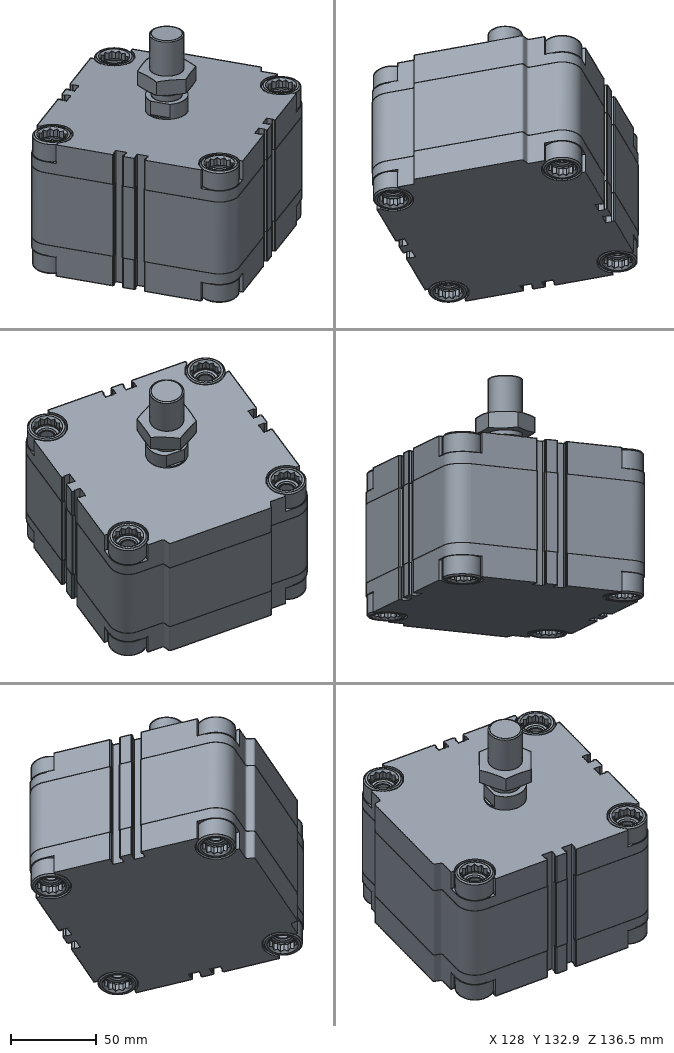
import cadquery as cq
import math

body_width = 128.0
housing_height = 86.4
cap_height = 19.5
cap_inset = 0.1
screw_pitch = 103.7
screw_offset = screw_pitch / 2
half_width = body_width / 2
corner_radius = half_width - screw_offset

pad_height = 4.9
pad_foot_half_width = 35.0
pad_top_half_width = 33.5
pad_fillet = 1.4

slot_side_angles = (-90, 0, 90)
slot_center = 6.7
slot_width = 6.7
slot_depth = 5.6
slot_mouth_width = 5.0
slot_lip_depth = 2.0
slot_mouth_chamfer = 0.5
cap_mouth_widening = 0.3

head_diameter = 23.0
head_chamfer = 1.0
head_pocket_diameter = 24.0
corner_notch_depth = 12.3
corner_notch_start = 45.0
socket_rim_diameter = 18.2
socket_points_diameter = 16.5
socket_point_count = 12
socket_flute_depth = 5.7
socket_floor_diameter = 15.4
socket_depth = 6.8
countersink_diameter = 11.5
countersink_bottom_diameter = 9.8
through_hole_diameter = 8.3

rod_diameter = 25.0
rod_flats_width = 22.0
rod_shoulder_z = 96.2
rod_flats_bottom_z = 87.4
neck_diameter = 18.2
neck_top_z = 100.0
thread_diameter = 20.0
thread_chamfer = (thread_diameter - neck_diameter) / 2
rod_top_z = 136.5
rod_tip_chamfer_height = 0.5

nut_width = 30.0
nut_height = 10.0
nut_bottom_z = 103.6
nut_corner_diameter = nut_width / math.cos(math.pi / 6)
nut_chamfer_height = 0.5


def slot(inset, mouth_widening, height):
    """One undercut slot opening toward -Y, with chamfered lips; centred on X = 0."""
    face_y = -half_width + inset
    lip_y = -half_width + slot_lip_depth
    floor_y = -half_width + slot_depth
    mouth_x = slot_mouth_width / 2 + mouth_widening
    wall_x = slot_width / 2
    flare_x = mouth_x + slot_mouth_chamfer
    half_profile = [
        (flare_x, face_y),
        (mouth_x, face_y + slot_mouth_chamfer),
        (mouth_x, lip_y),
        (wall_x, lip_y),
        (wall_x, floor_y),
    ]
    mirrored = [(-x, y) for x, y in reversed(half_profile)]
    return cq.Workplane("XY").polyline(half_profile + mirrored).close().extrude(height)


def pad(inset, height):
    """Pad on the +Y side with sloping flanks; its root lies inside the body."""
    foot_y = half_width - inset
    foot_x = pad_foot_half_width - inset
    crest_y = foot_y + pad_height
    crest_x = pad_top_half_width - inset
    outline = [
        (-foot_x, 0),
        (-foot_x, foot_y),
        (-crest_x, crest_y),
        (crest_x, crest_y),
        (foot_x, foot_y),
        (foot_x, 0),
    ]
    return cq.Workplane("XY").polyline(outline).close().extrude(height)


def vertical_edge_at(x, y, height):
    """Selector for the vertical edge that stands at (x, y)."""
    margin = 0.1
    return cq.selectors.BoxSelector(
        (x - margin, y - margin, -margin),
        (x + margin, y + margin, height + margin),
    )


def section(inset, mouth_widening, height):
    """Prism with the housing outline, set back from the barrel surface by inset."""
    side = body_width - 2 * inset
    prism = cq.Workplane("XY").rect(side, side).extrude(height)
    prism = prism.edges("|Z").fillet(corner_radius - inset)

    prism = prism.union(pad(inset, height))
    foot_y = half_width - inset
    foot = (pad_foot_half_width - inset, foot_y)
    crest = (pad_top_half_width - inset, foot_y + pad_height)
    for x, y in (foot, crest):
        for edge_x in (-x, x):
            prism = prism.edges(vertical_edge_at(edge_x, y, height)).fillet(pad_fillet)

    for side_angle in slot_side_angles:
        for x in (-slot_center, slot_center):
            cutter = slot(inset, mouth_widening, height).translate((x, 0, 0))
            prism = prism.cut(cutter.rotate((0, 0, 0), (0, 0, 1), side_angle))
    return prism


def cylinder(diameter, top_z, height):
    """Vertical cylinder on the Z axis, reaching down from top_z."""
    return cq.Workplane("XY", origin=(0, 0, top_z - height)).circle(diameter / 2).extrude(height)


def cone(top_diameter, bottom_diameter, top_z):
    """45 degree cone frustum on the Z axis, narrowing downward from top_z."""
    depth = (top_diameter - bottom_diameter) / 2
    return cq.Workplane(cq.Solid.makeCone(
        bottom_diameter / 2, top_diameter / 2, depth, pnt=cq.Vector(0, 0, top_z - depth)))


def corner_pocket():
    """Open corner and round clearance around a screw head; top at Z = 0, head axis on Z."""
    notch_start = corner_notch_start - screw_offset
    notch_size = half_width - corner_notch_start
    notch = (
        cq.Workplane("XY", origin=(notch_start, notch_start, -corner_notch_depth))
        .rect(notch_size, notch_size, centered=False).extrude(corner_notch_depth)
    )
    head = (
        cylinder(head_diameter, 0, corner_notch_depth)
        .faces(">Z").chamfer(head_chamfer)
    )
    return notch.union(cylinder(head_pocket_diameter, 0, corner_notch_depth)).cut(head)


def socket():
    """Twelve-point socket with a bevelled rim, a round floor and a hole below; top at Z = 0."""
    outer_radius = socket_points_diameter / 2
    inner_radius = outer_radius * math.cos(math.pi / 6) / math.cos(math.pi / 12)
    star = []
    for i in range(2 * socket_point_count):
        radius = outer_radius if i % 2 == 0 else inner_radius
        angle = math.pi * i / socket_point_count
        star.append((radius * math.cos(angle), radius * math.sin(angle)))
    flutes = cq.Workplane("XY").polyline(star).close().extrude(-socket_flute_depth)
    undercut = cylinder(socket_floor_diameter, -socket_flute_depth, socket_depth - socket_flute_depth)
    bevel = cone(socket_rim_diameter, 2 * inner_radius, 0)
    countersink = cone(countersink_diameter, countersink_bottom_diameter, -socket_depth)
    hole = cylinder(through_hole_diameter, 0, housing_height)
    return flutes.union(undercut).union(bevel).union(countersink).union(hole)


def make_housing():
    """Barrel and both caps, with a screw head and a through hole in each corner."""
    barrel_height = housing_height - 2 * cap_height
    barrel = section(0, 0, barrel_height).translate((0, 0, cap_height))
    housing = section(cap_inset, cap_mouth_widening, housing_height).union(barrel)

    corner_tool = corner_pocket().union(socket())
    corner_tool = corner_tool.translate((screw_offset, screw_offset, housing_height))
    for turn in (0, 90, 180, 270):
        top_tool = corner_tool.rotate((0, 0, 0), (0, 0, 1), turn)
        bottom_tool = top_tool.mirror("XY", (0, 0, housing_height / 2))
        housing = housing.cut(top_tool).cut(bottom_tool)
    return housing


def make_rod():
    """Rod standing on the housing: shoulder with two wrench flats, neck and threaded end."""
    profile = [
        (0, housing_height),
        (rod_diameter / 2, housing_height),
        (rod_diameter / 2, rod_shoulder_z),
        (neck_diameter / 2, rod_shoulder_z),
        (neck_diameter / 2, neck_top_z),
        (thread_diameter / 2, neck_top_z + thread_chamfer),
        (thread_diameter / 2, rod_top_z - rod_tip_chamfer_height),
        (thread_diameter / 2 - thread_chamfer, rod_top_z),
        (0, rod_top_z),
    ]
    rod = cq.Workplane("XZ").polyline(profile).close().revolve(360, (0, 0, 0), (0, 1, 0))
    flat_depth = (rod_diameter - rod_flats_width) / 2
    flat_middle_y = (rod_flats_width + flat_depth) / 2
    for y in (-flat_middle_y, flat_middle_y):
        flat_cut = (
            cq.Workplane("XY", origin=(0, y, rod_flats_bottom_z))
            .rect(rod_diameter, flat_depth).extrude(rod_shoulder_z - rod_flats_bottom_z)
        )
        rod = rod.cut(flat_cut)
    return rod


def make_nut():
    """Hexagon nut with corners toward +Y and -Y, chamfered at both ends, around the thread."""
    hexagon = (
        cq.Workplane("XY", origin=(0, 0, nut_bottom_z))
        .polygon(6, nut_corner_diameter).extrude(nut_height)
        .rotate((0, 0, 0), (0, 0, 1), 30)
    )
    nut_top_z = nut_bottom_z + nut_height
    turned_profile = [
        (thread_diameter / 2, nut_bottom_z),
        (nut_width / 2, nut_bottom_z),
        (nut_corner_diameter / 2, nut_bottom_z + nut_chamfer_height),
        (nut_corner_diameter / 2, nut_top_z - nut_chamfer_height),
        (nut_width / 2, nut_top_z),
        (thread_diameter / 2, nut_top_z),
    ]
    turned = cq.Workplane("XZ").polyline(turned_profile).close().revolve(360, (0, 0, 0), (0, 1, 0))
    return hexagon.intersect(turned)


housing = make_housing()
rod = make_rod()
nut = make_nut()
result = cq.Compound.makeCompound([housing.val(), rod.val(), nut.val()])